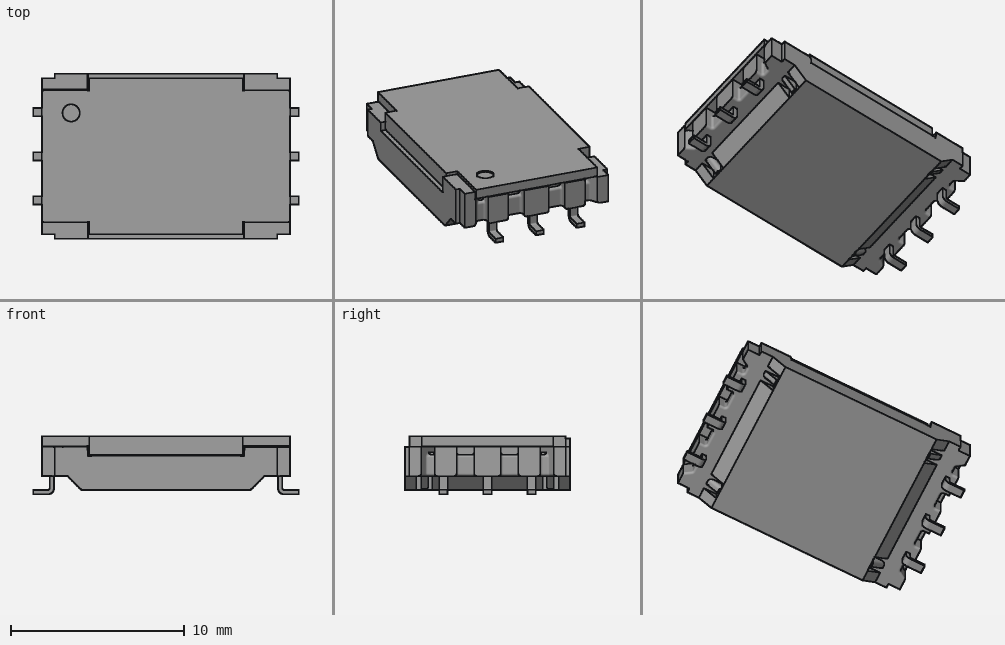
import cadquery as cq

lead_thickness = 0.26
base_bottom = 0.25
end_bottom = 1.05
bar_top = 2.28
wall_top = 2.74
raised_corner_top = 3.23
total_height = 3.35
joint_gap = 0.06
lid_bottom = 2.78
tab_bottom = 2.28

base_length = 14.29
base_width = 9.5
side_length = 12.82
end_width = 9.0
keel_length = 9.73

lid_end_width = 7.59
lid_tab_length = 8.85
notch_taper = 0.06
plug_length = 8.57
plug_width = 7.44
mark_diameter = 1.0
mark_depth = 0.08
mark_x = -5.46
mark_y = 2.5

lead_pitch = 2.54
block_width = 1.55
outer_block_edge = 3.05
inner_block_edge = 1.77
bar_recess = 0.46
clearance_recess = 0.69
corner_gap_edge = 3.81
corner_slant = 0.29
edge_round = 0.15
blend_radius = 0.14

slot_inner = 3.17
slot_outer = 4.1
rib_inner = 3.4
rib_outer = 3.81
rib_bottom = 0.34
rib_round = 0.21

lead_span = 15.3
lead_width = 0.49
lead_outer_x = 6.7
lead_inner_radius = 0.09

tolerance = 0.002

half_length = base_length / 2
bar_face = half_length - bar_recess
clearance_face = half_length - clearance_recess
slope_run = end_bottom - base_bottom


def block(x_range, y_range, z_range):
    """Box between two corners given as ranges."""
    size = [high - low for low, high in (x_range, y_range, z_range)]
    corner = cq.Vector(x_range[0], y_range[0], z_range[0])
    return cq.Workplane(cq.Solid.makeBox(*size, corner))


def centred_block(length, width, bottom, top):
    return block((-length / 2, length / 2), (-width / 2, width / 2), (bottom, top))


def both_ends(solid):
    """The solid together with its mirror image at the other X end."""
    return solid.union(solid.mirror("YZ"))


def both_sides(solid):
    """The solid together with its mirror image at the other Y side."""
    return solid.union(solid.mirror("XZ"))


def make_base():
    """Block with stepped corners and a keel that slopes inward below the ends."""
    plan = centred_block(base_length, end_width, base_bottom, wall_top)
    plan = plan.union(centred_block(side_length, base_width, base_bottom, wall_top))
    keel_half = keel_length / 2
    profile = (
        cq.Workplane("XZ")
        .moveTo(-keel_half, base_bottom)
        .lineTo(keel_half, base_bottom)
        .lineTo(keel_half + slope_run, end_bottom)
        .lineTo(half_length, end_bottom)
        .lineTo(half_length, wall_top)
        .lineTo(-half_length, wall_top)
        .lineTo(-half_length, end_bottom)
        .lineTo(-keel_half - slope_run, end_bottom)
        .close()
        .extrude(base_width / 2, both=True)
    )
    return plan.intersect(profile)


def end_gap(outline):
    """Gap at the -X end that leaves a bar with a rounded top and ends blended into its neighbours."""
    plan = cq.Workplane("XY").workplane(offset=end_bottom).polyline(outline(clearance_face)).close()
    gap = plan.extrude(wall_top - end_bottom)
    bar = block((-bar_face, -clearance_face), (0, base_width / 2), (end_bottom, bar_top))
    gap = gap.cut(bar.edges("<X and >Z").fillet(edge_round))
    bar_end_edges = cq.selectors.BoxSelector(
        (-bar_face - tolerance, 0, end_bottom + tolerance),
        (-clearance_face - tolerance, base_width / 2, bar_top + tolerance),
    )
    return gap.edges(bar_end_edges).fillet(blend_radius)


def middle_gap(face):
    """Rectangle between the middle block and an outer block."""
    low = block_width / 2
    high = inner_block_edge
    return [(-half_length, low), (-face, low), (-face, high), (-half_length, high)]


def corner_gap(face):
    """Gap beside an outer block, bounded by the slanted flank of the corner."""
    low = outer_block_edge
    flank = corner_gap_edge - corner_slant * (half_length - face) / bar_recess
    return [(-half_length, low), (-face, low), (-face, flank), (-half_length, corner_gap_edge)]


def make_corner_pocket():
    """Pocket above the bar end, where the corner flank runs on until it passes behind the outer block."""
    depth = bar_recess * (corner_gap_edge - outer_block_edge) / corner_slant
    floor = bar_top + blend_radius
    outline = [
        (-half_length, outer_block_edge),
        (-half_length, corner_gap_edge),
        (-half_length + depth, outer_block_edge),
    ]
    plan = cq.Workplane("XY").workplane(offset=floor).polyline(outline).close()
    return plan.extrude(wall_top - floor)


def round_gap_undersides(base):
    """Round the bottom edge that runs along each gap, from block flank to bar to block flank."""
    for end in (-1, 1):
        bottom_edges = cq.selectors.BoxSelector(
            (end * (half_length - tolerance), -corner_gap_edge, end_bottom - tolerance),
            (end * (bar_face - tolerance), corner_gap_edge, end_bottom + tolerance),
        )
        base = base.edges(bottom_edges).fillet(edge_round)
    return base


def make_slot():
    """Slot through the sloped underside at the -X end, with a rounded rib left standing in it."""
    keel_half = keel_length / 2
    slot = block((-half_length, -keel_half), (slot_inner, slot_outer), (base_bottom, end_bottom))
    rib = (
        cq.Workplane("XZ", origin=(0, rib_outer, 0))
        .moveTo(-keel_half, end_bottom)
        .lineTo(-keel_half - slope_run, end_bottom)
        .lineTo(-keel_half - (rib_bottom - base_bottom), rib_bottom)
        .lineTo(-keel_half, rib_bottom)
        .close()
        .extrude(rib_outer - rib_inner)
    )
    sloped_edge = cq.selectors.NearestToPointSelector(
        (-keel_half - slope_run / 2, rib_inner, (base_bottom + end_bottom) / 2)
    )
    return slot.cut(rib.edges(sloped_edge).fillet(rib_round))


def make_lid():
    """Flat lid whose long sides carry deeper tabs that drop into the side walls."""
    lid = centred_block(base_length, lid_end_width, lid_bottom, total_height)
    tabs = centred_block(lid_tab_length, end_width, tab_bottom, total_height)
    mark = cq.Workplane("XY").workplane(offset=total_height - mark_depth).center(mark_x, mark_y)
    return lid.union(tabs).cut(mark.circle(mark_diameter / 2).extrude(mark_depth))


def make_tab_notch():
    """Tapered notch in the side walls, leaving a plug under the lid that joins it to the base."""
    floor = tab_bottom - joint_gap
    half_floor = lid_tab_length / 2 + joint_gap
    half_top = half_floor + notch_taper
    notch = (
        cq.Workplane("XZ")
        .moveTo(-half_floor, floor)
        .lineTo(half_floor, floor)
        .lineTo(half_top, raised_corner_top)
        .lineTo(-half_top, raised_corner_top)
        .close()
        .extrude(base_width / 2, both=True)
    )
    return notch.cut(centred_block(plug_length, plug_width, floor, raised_corner_top))


def make_raised_corner():
    """Taller wall at the -X +Y corner, marking the first lead."""
    inner_y = lid_end_width / 2 + joint_gap
    inner_x = -plug_length / 2
    z_range = (wall_top, raised_corner_top)
    corner = block((-half_length, inner_x), (inner_y, end_width / 2), z_range)
    return corner.union(block((-side_length / 2, inner_x), (inner_y, base_width / 2), z_range))


def make_lead():
    """Gull-wing lead at the -X end: a foot that bends up into the end wall."""
    inner_x = lead_outer_x - lead_thickness
    outer_radius = lead_inner_radius + lead_thickness
    lead = (
        cq.Workplane("XZ")
        .moveTo(-lead_span / 2, 0)
        .lineTo(-inner_x, 0)
        .lineTo(-inner_x, end_bottom + lead_thickness)
        .lineTo(-lead_outer_x, end_bottom + lead_thickness)
        .lineTo(-lead_outer_x, lead_thickness)
        .lineTo(-lead_span / 2, lead_thickness)
        .close()
        .extrude(lead_width / 2, both=True)
    )
    bend_inside = cq.selectors.NearestToPointSelector((-lead_outer_x, 0, lead_thickness))
    bend_outside = cq.selectors.NearestToPointSelector((-inner_x, 0, 0))
    return lead.edges(bend_inside).fillet(lead_inner_radius).edges(bend_outside).fillet(outer_radius)


base = make_base()
for outline in (middle_gap, corner_gap):
    base = base.cut(both_ends(both_sides(end_gap(outline))))
base = round_gap_undersides(base)
base = base.cut(both_ends(both_sides(make_corner_pocket())))

base = base.cut(both_ends(both_sides(make_slot())))
base = base.union(make_raised_corner()).cut(make_tab_notch())

plug = centred_block(plug_length, plug_width, tab_bottom, lid_bottom)
result = base.union(plug).union(make_lid())
for row in (-1, 0, 1):
    result = result.union(both_ends(make_lead()).translate((0, row * lead_pitch, 0)))